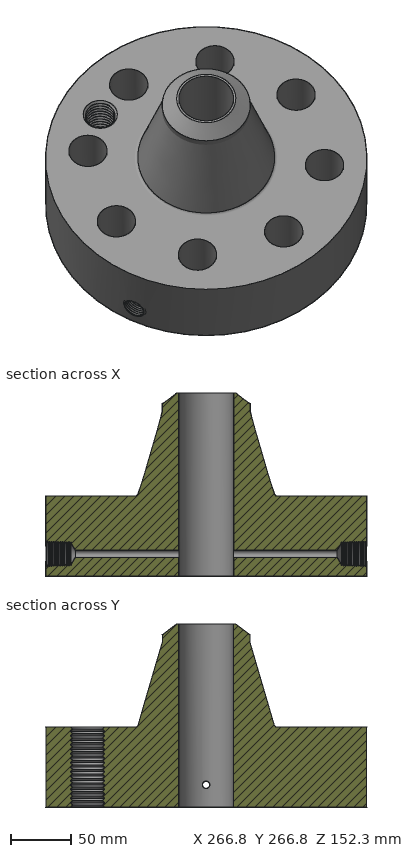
import cadquery as cq
import math

flange_radius = 133.4
flange_height = 66.7

total_height = 152.3
hub_foot_radius = 59.2
hub_base_radius = 56.8
hub_foot_height = 1.3
pipe_radius = 36.5
pipe_start_z = 137.0
bevel_start_z = 143.2
weld_land = 2.0
bore_radius = 22.7

bolt_count = 8
bolt_circle_radius = 98.5
bolt_hole_diameter = 31.7
jack_major_radius = 14.1
jack_minor_radius = 12.3
jack_thread_count = 18

tap_z = 18.7
tap_depth = 21.3
tap_mouth_radius = 9.0
tap_end_radius = 8.5
tap_thread_height = 1.3
tap_pitch = 1.81
tap_passage_radius = 3.0
drill_point_angle = 118.0


def make_body():
    """Flange disc and hub with a filleted foot, revolved about Z around the open bore."""
    land_radius = bore_radius + weld_land
    return (
        cq.Workplane("XZ")
        .moveTo(bore_radius, 0)
        .lineTo(flange_radius, 0)
        .lineTo(flange_radius, flange_height)
        .lineTo(hub_foot_radius, flange_height)
        .tangentArcPoint((hub_base_radius, flange_height + hub_foot_height), relative=False)
        .lineTo(pipe_radius, pipe_start_z)
        .lineTo(pipe_radius, bevel_start_z)
        .lineTo(land_radius, total_height)
        .lineTo(bore_radius, total_height)
        .close()
        .revolve(360, (0, 0, 0), (0, 1, 0))
    )


def thread_outline(crest_radius, thread_height, pitch, count, taper=0.0):
    """Zigzag (radius, z) points of a V thread, from a root at z = 0 to a root at the top.

    The thread is modelled as closed ring grooves, one for each pitch.
    """
    points = [(crest_radius + thread_height, 0)]
    for turn in range(count):
        crest_z = (turn + 0.5) * pitch
        root_z = (turn + 1) * pitch
        points.append((crest_radius + taper * crest_z, crest_z))
        points.append((crest_radius + taper * root_z + thread_height, root_z))
    return points


def revolve_outline(points):
    """Solid of revolution about Z from (radius, z) points."""
    return cq.Workplane("XZ").polyline(points).close().revolve(360, (0, 0, 0), (0, 1, 0))


def make_bolt_holes():
    """Bolt holes straddling the X and Y axes."""
    return (
        cq.Workplane("XY")
        .polarArray(bolt_circle_radius, 180 / bolt_count, 360, bolt_count)
        .circle(bolt_hole_diameter / 2)
        .extrude(flange_height)
    )


def make_jack_hole():
    """Threaded through hole on the -X side."""
    thread = thread_outline(
        jack_minor_radius,
        jack_major_radius - jack_minor_radius,
        flange_height / jack_thread_count,
        jack_thread_count,
    )
    hole = revolve_outline([(0, 0), *thread, (0, flange_height)])
    return hole.translate((-bolt_circle_radius, 0, 0))


def make_pressure_tap(side_angle):
    """Tapered threaded tap with a drill point and a passage into the bore."""
    point_length = (tap_end_radius - tap_passage_radius) / math.tan(math.radians(drill_point_angle / 2))
    taper = (tap_mouth_radius - tap_end_radius) / tap_depth
    axis_z = tap_depth - flange_radius
    thread_count = math.ceil(tap_depth / tap_pitch) + 1
    thread = thread_outline(tap_end_radius, tap_thread_height, tap_pitch, thread_count, taper)
    hole = revolve_outline(
        [
            (0, axis_z),
            (tap_passage_radius, axis_z),
            (tap_passage_radius, -point_length),
            (tap_end_radius, 0),
            *thread,
            (0, thread_count * tap_pitch),
        ]
    )
    return (
        hole.rotate((0, 0, 0), (1, 0, 0), 90)
        .translate((0, axis_z, tap_z))
        .rotate((0, 0, 0), (0, 0, 1), side_angle)
    )


result = make_body().cut(make_bolt_holes()).cut(make_jack_hole())
for tap_side in (0, 180):
    result = result.cut(make_pressure_tap(tap_side))